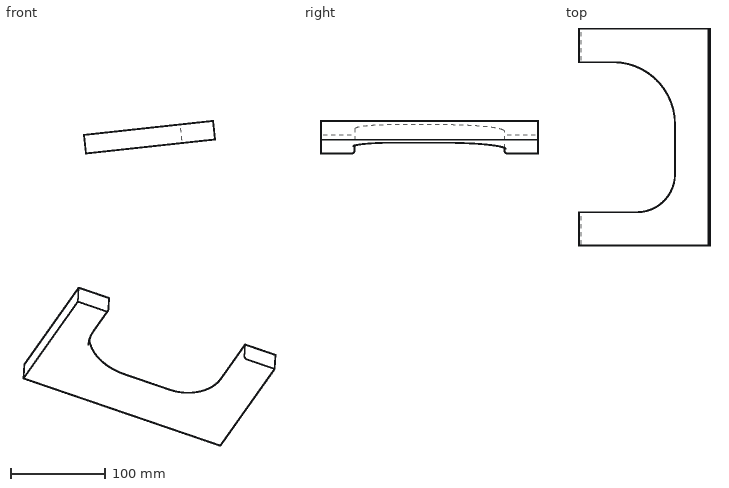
import cadquery as cq

length = 138.0
width = 230.5
thickness = 20.0
tilt = 6.2

arm_width = 35.7
opening_depth = 102.5
large_radius = 65.7
small_radius = 40.3
bottom_edge_fillet = 3.5

opening_half_width = width / 2 - arm_width
selection_margin = 0.5


def make_plate():
    """Flat plate, centred in Y, with its -X end at X = 0."""
    return cq.Workplane("XY").box(length, width, thickness, centered=(False, True, False))


def make_opening():
    """Cutter with a large inner corner at +Y and a smaller one at -Y."""
    cutter = cq.Workplane("XY").box(
        opening_depth, 2 * opening_half_width, thickness, centered=(False, True, False)
    )
    cutter = cutter.edges("|Z and >X and >Y").fillet(large_radius)
    return cutter.edges("|Z and >X and <Y").fillet(small_radius)


def round_bottom_of_opening(plate):
    """Round the lower rim of the opening."""
    rim_box = cq.selectors.BoxSelector(
        (-selection_margin, -opening_half_width - selection_margin, -selection_margin),
        (opening_depth + selection_margin, opening_half_width + selection_margin, selection_margin),
        boundingbox=True,
    )
    rim = plate.faces("<Z").edges(rim_box)
    return rim.fillet(bottom_edge_fillet)


notched_plate = make_plate().cut(make_opening())
rounded_plate = round_bottom_of_opening(notched_plate)
result = rounded_plate.rotate((0, 0, 0), (0, 1, 0), -tilt)